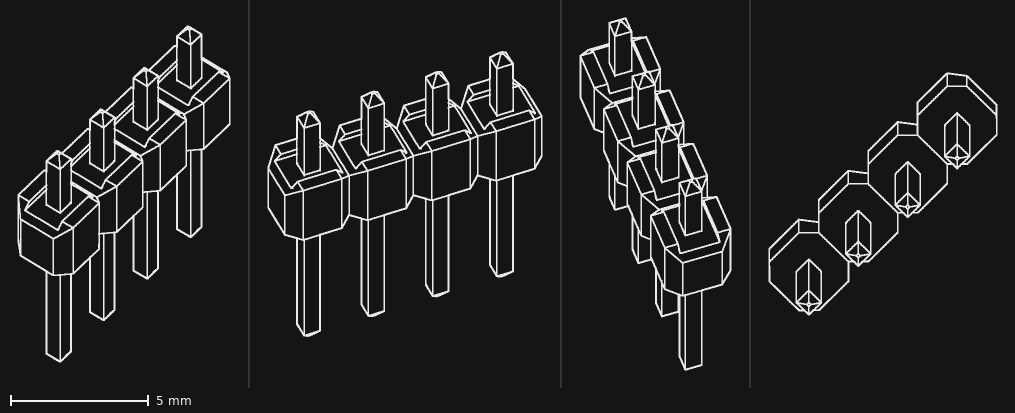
import cadquery as cq

pin_count = 4
row_length = 10.16
pitch = row_length / pin_count

block_width = pitch
block_height = pitch
chamfer = pitch / 5
recess_depth = chamfer / 2
recess_width = block_width - 2 * chamfer

pin_length = 11.43
pin_side = 0.64
pin_top = block_height + pitch
pin_bottom = pin_top - pin_length
tip_height = 0.38
tip_side = 0.1


def make_block(y):
    """Housing block centred on y, standing on the XY plane."""
    block = cq.Workplane("XY").box(block_width, pitch, block_height, centered=(True, True, False))
    block = block.edges("|Z").chamfer(chamfer)

    half_length = pitch / 2
    shoulder = block_height - chamfer
    profile = [
        (-half_length, 0),
        (half_length, 0),
        (half_length, shoulder),
        (half_length - chamfer, block_height),
        (-half_length + chamfer, block_height),
        (-half_length, shoulder),
    ]
    envelope = cq.Workplane("YZ").polyline(profile).close().extrude(block_width / 2, both=True)
    block = block.intersect(envelope)

    recess = (
        cq.Workplane("XY", origin=(0, 0, block_height - recess_depth))
        .box(recess_width, pitch, recess_depth, centered=(True, True, False))
    )

    hole = cq.Workplane("XY").rect(pin_side, pin_side).extrude(block_height)
    return block.cut(recess).cut(hole).translate((0, y, 0))


def make_tip(z, direction):
    """Blunt pyramid on the pin end at height z; direction is +1 for up, -1 for down."""
    return (
        cq.Workplane("XY", origin=(0, 0, z))
        .rect(pin_side, pin_side)
        .workplane(offset=direction * tip_height)
        .rect(tip_side, tip_side)
        .loft(ruled=True)
    )


def make_pin(y):
    """Square pin centred on y, passing right through its block."""
    shank_top = pin_top - tip_height
    shank_bottom = pin_bottom + tip_height
    shank = (
        cq.Workplane("XY", origin=(0, 0, shank_bottom))
        .rect(pin_side, pin_side)
        .extrude(shank_top - shank_bottom)
    )
    pin = shank.union(make_tip(shank_top, 1)).union(make_tip(shank_bottom, -1))
    return pin.translate((0, y, 0))


places = [(i - (pin_count - 1) / 2) * pitch for i in range(pin_count)]
blocks = [make_block(y).solids().val() for y in places]
pins = [make_pin(y).solids().val() for y in places]

result = cq.Compound.makeCompound([*blocks, *pins])